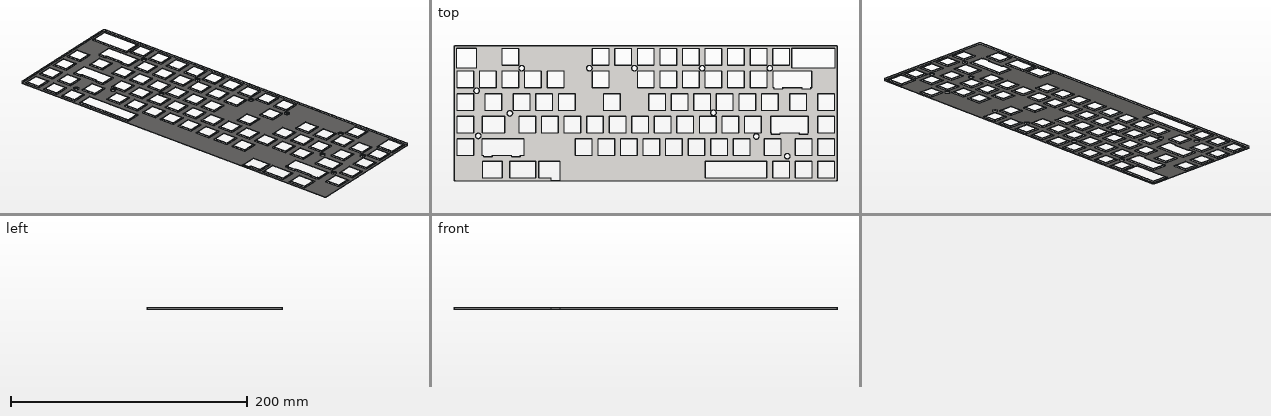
import cadquery as cq

LENGTH = 324.0
COLUMNS = 17
ROWS = 6
PITCH = LENGTH / COLUMNS
WIDTH = ROWS * PITCH
THICKNESS = 1.6
CORNER_RADIUS = 1.0

SWITCH = 14.0
LARGE = 16.5
SCREW_DIAMETER = 4.5
STABILIZER_WIDTH = 7.0
STABILIZER_SPACING = 23.5
STABILIZER_DROP = 1.0

SWITCH_COLUMNS = [
    [2.5, *(6.5 + i for i in range(9))],
    [*(0.5 + i for i in range(5)), 6.5, *(8.5 + i for i in range(6))],
    [0.5, 1.75, 3, 4, 5, 7, *(9 + i for i in range(6)), 15.25, 16.5],
    [0.5, *(3.25 + i for i in range(11)), 16.5],
    [0.5, *(5.75 + i for i in range(8)), 14.125, 15.5, 16.5],
    [14.5, 15.5, 16.5],
]

WIDE_OPENINGS = [
    (1.75, 3.5, 18.8),
    (1.7, 5.5, 16.5),
    (3.05, 5.5, 21.7),
    (12.5, 5.5, 51.8),
]

STABILIZED_OPENINGS = [
    (15.0, 1.5, 32.5, 15.0),
    (14.875, 3.5, 31.5, 14.875),
    (2.175, 4.5, 35.3, 2.125),
]

SCREW_HOLES = [
    (3, 1), (6, 1), (8, 1), (11, 1), (14, 1),
    (1, 2), (2.475, 3), (11.5, 2.975),
    (1.075, 4), (13.4, 4.025), (14.775, 4.9),
]

CORNER_MARGIN = 2.3
RIGHT_CORNER_WIDTH = 36.3

ALT_COLUMN = 4.225
ALT_ROW = 5.5
ALT_WIDTH = 17.8
ALT_RELIEF_WIDTH = 7.5
ALT_RELIEF_DROP = 2.0


def place(column, row):
    """Plate position of a point given in key cells from the top left corner."""
    return column * PITCH - LENGTH / 2, WIDTH / 2 - row * PITCH


def opening(x, y, width, height):
    """Rectangular cutter through the plate, centred on (x, y)."""
    return cq.Workplane().center(x, y).rect(width, height).extrude(THICKNESS)


def stabilized_opening(column, row, width, relief_column):
    """Wide opening with two shallow reliefs below its lower edge."""
    x, y = place(column, row)
    middle_x, _ = place(relief_column, row)
    cutter = opening(x, y, width, SWITCH)
    for side in (-1, 1):
        relief_x = middle_x + side * STABILIZER_SPACING / 2
        relief = opening(relief_x, y - STABILIZER_DROP / 2, STABILIZER_WIDTH, SWITCH + STABILIZER_DROP)
        cutter = cutter.union(relief)
    return cutter


def alt_opening():
    """Left alt opening with one deep relief flush with its right edge."""
    x, y = place(ALT_COLUMN, ALT_ROW)
    relief_x = x + (ALT_WIDTH - ALT_RELIEF_WIDTH) / 2
    relief = opening(relief_x, y - ALT_RELIEF_DROP / 2, ALT_RELIEF_WIDTH, SWITCH + ALT_RELIEF_DROP)
    return opening(x, y, ALT_WIDTH, SWITCH).union(relief)


plate = cq.Workplane().rect(LENGTH, WIDTH).extrude(THICKNESS)
plate = plate.edges("|Z").fillet(CORNER_RADIUS)

switches = [place(column, row + 0.5) for row, columns in enumerate(SWITCH_COLUMNS) for column in columns]
plate = plate.cut(cq.Workplane().pushPoints(switches).rect(SWITCH, SWITCH).extrude(THICKNESS))

for column, row, width in WIDE_OPENINGS:
    plate = plate.cut(opening(*place(column, row), width, SWITCH))

for column, row, width, relief_column in STABILIZED_OPENINGS:
    plate = plate.cut(stabilized_opening(column, row, width, relief_column))

plate = plate.cut(alt_opening())

corner_y = WIDTH / 2 - CORNER_MARGIN - LARGE / 2
for side, width in ((-1, LARGE), (1, RIGHT_CORNER_WIDTH)):
    corner_x = side * (LENGTH / 2 - CORNER_MARGIN - width / 2)
    plate = plate.cut(opening(corner_x, corner_y, width, LARGE))

screws = [place(column, row) for column, row in SCREW_HOLES]
result = plate.cut(cq.Workplane().pushPoints(screws).circle(SCREW_DIAMETER / 2).extrude(THICKNESS))